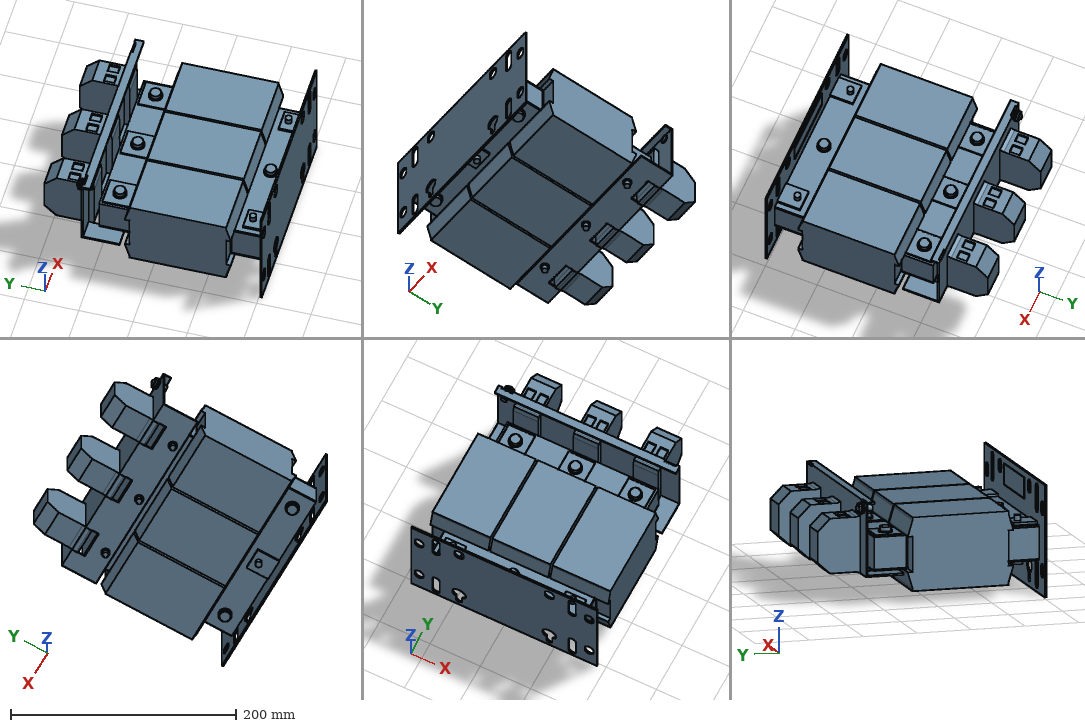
import cadquery as cq


total_length = 206.0
phase_pitch = 59.7
phase_places = (-phase_pitch, 0, phase_pitch)

plate_width = 185.0
plate_height = 102.0
plate_thickness = 1.6
plate_middle_z = 5.0
label_width = 61.8
label_bottom_z = 31.0
label_top_z = 50.0
label_thickness = 0.6

long_slot_x = 67.8
long_slot_width = 7.5
long_slot_length = 26.2
long_slot_offset_z = 34.6
end_slot_x = 84.7
end_slot_width = 8.5
end_slot_length = 12.4
end_slot_offset_z = 28.5
key_x = 45.0
key_radius = 6.8
key_middle_z = -26.5
key_neck_width = 6.0
key_bottom_z = -41.5
upper_slot_width = 9.3
upper_slot_length = 12.2
upper_slot_z = 45.1

core_width = 150.4
core_half_height = 14.6
lining = 1.5
lined_half_height = core_half_height + lining
lining_inset = 0.5
lining_width = core_width - 2 * lining_inset
end_lining_width = 147.5
upper_yoke_end = 154.5
pad_width = 26.4
pad_end = 152.2

coil_width = 57.7
coil_start = 34.0
coil_end = 123.0
coil_half_height = 33.5
flare_length = 4.1
flare_outer_z = 31.3
flare_inner_z = 17.5

tab_width = 20.0
tab_end = 23.7
tab_thickness = 2.3

foot_bolt_y = 17.0
yoke_bolt_y = 139.5
head_radius = 5.0
head_outer_z = 20.8
washer_radius = 6.2
washer_thickness = 0.8
foot_stud_radius = 2.9
yoke_stud_radius = 2.7
stud_end_z = 23.3
nut_radius = 4.0
nut_outer_z = 18.5

bracket_width = 180.5
bracket_sheet = 1.6
bracket_outer_y = 166.7
bracket_inner_y = bracket_outer_y - bracket_sheet
bracket_top_z = 50.0
bracket_bottom_z = -lined_half_height - bracket_sheet
top_flange_end = 158.6
bottom_flange_end = 131.6
flange_notch_end = 153.5
edge_notch_width = 11.0

terminal_width = 24.7
terminal_top_z = 33.5
terminal_bottom_z = -16.5
terminal_chamfer_y = 11.5
terminal_chamfer_top = 11.3
terminal_chamfer_bottom = 10.5
clip_start_y = 170.2
clip_crest_y = 162.7
clip_face_y = 159.6
clip_bevel = 1.0
clip_bevel_height = 6.0
clip_top_z = 35.8
clip_bottom_z = -18.7
wire_port_width = 7.8
wire_port_spacing = 12.2
wire_port_start_y = 174.9
wire_port_end_y = 184.4
wire_port_depth = 2.0

earth_x = 81.2
earth_z = 43.3
earth_bush_radius = 4.0
earth_bush_length = 1.0
earth_shank_radius = 2.9
spring_washer_radius = 4.5
spring_washer_end = 168.3
flat_washer_radius = 5.2
flat_washer_end = 169.3
screw_head_radius = 4.7
screw_head_end = 171.2
screw_dome_radius = 3.3
screw_dome_end = 173.0
screw_dome_chamfer = 1.6


def block(x_range, y_range, z_range):
    """Box between the given pairs of X, Y and Z limits."""
    lows, highs = zip(x_range, y_range, z_range)
    sizes = [high - low for low, high in zip(lows, highs)]
    return cq.Workplane("XY").box(*sizes, centered=False).translate(lows)


def centred_block(middle_x, width, y_range, z_range):
    return block((middle_x - width / 2, middle_x + width / 2), y_range, z_range)


def upright_rod(x, y, radius, end_z):
    """Rod from the middle of the core to end_z, which may lie above or below it."""
    return cq.Workplane("XY", origin=(x, y, 0)).circle(radius).extrude(end_z)


def lengthwise_rod(x, z, radius, start_y, end_y):
    rod = cq.Workplane("XZ", origin=(x, start_y, z))
    return rod.circle(radius).extrude(start_y - end_y)


def side_profile(points, middle_x, width):
    """Closed outline of (Y, Z) points, extruded along X about middle_x."""
    sketch = cq.Workplane("YZ", origin=(middle_x - width / 2, 0, 0))
    return sketch.polyline(points).close().extrude(width)


def plate_slot(x, z, width, length):
    sketch = cq.Workplane("XZ", origin=(x, 0, z))
    return sketch.slot2D(length, width, 90).extrude(-plate_thickness)


def foot_plate():
    half_height = plate_height / 2
    z_range = (plate_middle_z - half_height, plate_middle_z + half_height)
    plate = centred_block(0, plate_width, (0, plate_thickness), z_range)
    key_neck_length = key_middle_z - key_bottom_z + key_neck_width / 2
    key_neck_z = key_bottom_z + key_neck_length / 2
    for side in (-1, 1):
        for level in (-1, 1):
            long_z = plate_middle_z + level * long_slot_offset_z
            end_z = plate_middle_z + level * end_slot_offset_z
            plate = plate.cut(plate_slot(side * long_slot_x, long_z, long_slot_width, long_slot_length))
            plate = plate.cut(plate_slot(side * end_slot_x, end_z, end_slot_width, end_slot_length))
        plate = plate.cut(plate_slot(side * key_x, upper_slot_z, upper_slot_width, upper_slot_length))
        plate = plate.cut(plate_slot(side * key_x, key_neck_z, key_neck_width, key_neck_length))
        plate = plate.cut(lengthwise_rod(side * key_x, key_middle_z, key_radius, 0, plate_thickness))
    label_y = (plate_thickness, plate_thickness + label_thickness)
    return plate.union(centred_block(0, label_width, label_y, (label_bottom_z, label_top_z)))


def core():
    """Lower and upper yokes, lined with thin sheet against the coils and the clamps."""
    yoke_z = (-core_half_height, core_half_height)
    lined_z = (-lined_half_height, lined_half_height)
    under_z = (-lined_half_height, -core_half_height)
    over_z = (core_half_height, lined_half_height)
    body = centred_block(0, core_width, (plate_thickness, coil_start - lining), yoke_z)
    body = body.union(centred_block(0, lining_width, (plate_thickness, coil_start), lined_z))
    body = body.union(centred_block(0, core_width, (coil_end + lining, upper_yoke_end), yoke_z))
    body = body.union(centred_block(0, end_lining_width, (coil_end, coil_end + lining), lined_z))
    body = body.union(centred_block(0, lining_width, (coil_end, upper_yoke_end), under_z))
    for x in phase_places:
        body = body.union(centred_block(x, pad_width, (coil_end, pad_end), over_z))
    return body


def coil(x):
    """Winding block whose ends flare outwards above and below the yokes."""
    flare_start = coil_start - flare_length
    flare_end = coil_end + flare_length
    upper_half = [
        (coil_end, lined_half_height),
        (flare_end, lined_half_height),
        (flare_end, flare_inner_z),
        (coil_end, flare_outer_z),
        (coil_end, coil_half_height),
        (coil_start, coil_half_height),
        (coil_start, flare_outer_z),
        (flare_start, flare_inner_z),
        (flare_start, lined_half_height),
        (coil_start, lined_half_height),
    ]
    lower_half = [(y, -z) for y, z in reversed(upper_half)]
    return side_profile(upper_half + lower_half, x, coil_width)


def bolt(x, y, head_side, stud_radius):
    """Bolt through a yoke, with washer and head above (head_side 1) or below (-1)."""
    washer_outer_z = lined_half_height + washer_thickness
    washer = upright_rod(x, y, washer_radius, head_side * washer_outer_z)
    head = upright_rod(x, y, head_radius, head_side * head_outer_z)
    stud = upright_rod(x, y, stud_radius, -head_side * stud_end_z)
    return washer.union(head).union(stud)


def foot_fixing(x, tab_side):
    """Tab on the top (1) or bottom (-1) of the lower yoke, bolted from the other side."""
    tab_z = sorted((tab_side * lined_half_height, tab_side * (lined_half_height + tab_thickness)))
    tab = centred_block(x, tab_width, (plate_thickness, tab_end), tab_z)
    return tab.union(bolt(x, foot_bolt_y, -tab_side, foot_stud_radius))


def yoke_fixing(x):
    """Bolt through the upper yoke, with its nut under the bracket flange."""
    nut = upright_rod(x, yoke_bolt_y, nut_radius, -nut_outer_z)
    return nut.union(bolt(x, yoke_bolt_y, 1, yoke_stud_radius))


def terminal_bracket():
    """Sheet with a short top flange and a long bottom flange under the core."""
    outline = [
        (bracket_outer_y, bracket_top_z),
        (top_flange_end, bracket_top_z),
        (top_flange_end, bracket_top_z - bracket_sheet),
        (bracket_inner_y, bracket_top_z - bracket_sheet),
        (bracket_inner_y, bracket_bottom_z + bracket_sheet),
        (bottom_flange_end, bracket_bottom_z + bracket_sheet),
        (bottom_flange_end, bracket_bottom_z),
        (bracket_outer_y, bracket_bottom_z),
    ]
    bracket = side_profile(outline, 0, bracket_width)
    flange_z = (bracket_bottom_z, bracket_bottom_z + bracket_sheet)
    for x in phase_places:
        notch_y = (flange_notch_end, bracket_inner_y)
        bracket = bracket.cut(centred_block(x, terminal_width, notch_y, flange_z))
    edge_z = (bracket_top_z - bracket_sheet, bracket_top_z)
    edge_y = (bracket_inner_y, bracket_outer_y)
    for x in (-earth_x, earth_x):
        bracket = bracket.cut(centred_block(x, edge_notch_width, edge_y, edge_z))
        bush_end = bracket_inner_y - earth_bush_length
        bracket = bracket.union(lengthwise_rod(x, earth_z, earth_bush_radius, bush_end, bracket_inner_y))
    return bracket


def terminal(x):
    """Double terminal clipped through the bracket, with two wire ports on top."""
    bevel_y = clip_face_y + clip_bevel
    chamfer_start_y = total_length - terminal_chamfer_y
    outline = [
        (total_length, terminal_bottom_z + terminal_chamfer_bottom),
        (total_length, terminal_top_z - terminal_chamfer_top),
        (chamfer_start_y, terminal_top_z),
        (clip_start_y, terminal_top_z),
        (clip_crest_y, clip_top_z),
        (bevel_y, clip_top_z),
        (clip_face_y, clip_top_z - clip_bevel_height),
        (clip_face_y, clip_bottom_z + clip_bevel_height),
        (bevel_y, clip_bottom_z),
        (clip_crest_y, clip_bottom_z),
        (clip_start_y, terminal_bottom_z),
        (chamfer_start_y, terminal_bottom_z),
    ]
    body = side_profile(outline, x, terminal_width)
    port_y = (wire_port_start_y, wire_port_end_y)
    port_z = (terminal_top_z - wire_port_depth, terminal_top_z)
    for side in (-1, 1):
        port_x = x + side * wire_port_spacing / 2
        body = body.cut(centred_block(port_x, wire_port_width, port_y, port_z))
    return body


def earth_screw():
    shank = lengthwise_rod(-earth_x, earth_z, earth_shank_radius, top_flange_end, bracket_outer_y)
    spring = lengthwise_rod(-earth_x, earth_z, spring_washer_radius, bracket_outer_y, spring_washer_end)
    flat = lengthwise_rod(-earth_x, earth_z, flat_washer_radius, spring_washer_end, flat_washer_end)
    head = lengthwise_rod(-earth_x, earth_z, screw_head_radius, flat_washer_end, screw_head_end)
    dome = lengthwise_rod(-earth_x, earth_z, screw_dome_radius, screw_head_end, screw_dome_end)
    dome = dome.faces(">Y").chamfer(screw_dome_chamfer)
    return shank.union(spring).union(flat).union(head).union(dome)


result = foot_plate().union(core()).union(terminal_bracket()).union(earth_screw())
for phase_x in phase_places:
    result = result.union(coil(phase_x))
    result = result.union(terminal(phase_x))
    result = result.union(yoke_fixing(phase_x))
result = result.union(foot_fixing(0, -1))
for tab_x in (-phase_pitch, phase_pitch):
    result = result.union(foot_fixing(tab_x, 1))